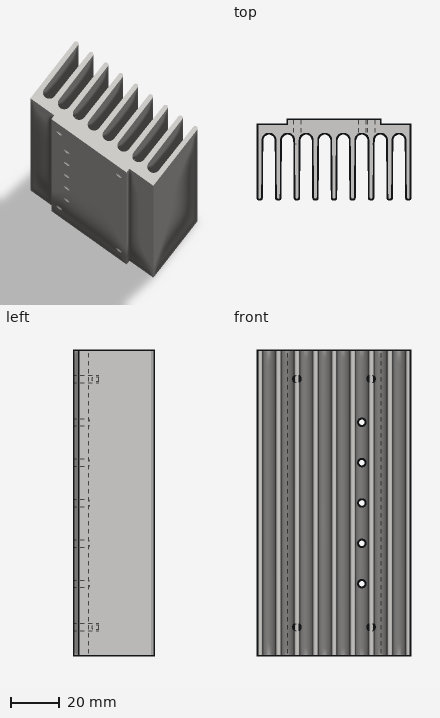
import cadquery as cq

width = 62.8
depth = 33.0
height = 125.0
pad_width = 38.4
pad_height = 2.0

fin_count = 9
fin_thickness = 2.0
tip_radius = fin_thickness / 2
base_thickness = 6.0
root_radius = 2.6
fin_pitch = (width - fin_thickness) / (fin_count - 1)
groove_mouth_width = fin_pitch - fin_thickness

front_y = -depth / 2
back_y = depth / 2
tip_center_y = front_y + tip_radius
groove_end_y = back_y - base_thickness

through_diameter = 3.0
through_count = 5
through_spacing = 16.5
through_x = 1.5 * fin_pitch

mount_diameter = 3.0
mount_depth = 10.0
mount_x = 2 * fin_pitch
mount_z = 50.8


def block(size_x, y_min, y_max):
    """Full-height block centred on X and Z."""
    return cq.Workplane("XY").box(size_x, y_max - y_min, height).translate((0, (y_min + y_max) / 2, 0))


def groove(center_x):
    """Full-height groove open at the front, with a rounded inner end."""
    mouth = groove_mouth_width / 2
    arc_start_y = groove_end_y - root_radius
    return (
        cq.Workplane("XY", origin=(center_x, 0, -height / 2))
        .moveTo(-mouth, tip_center_y)
        .lineTo(-root_radius, arc_start_y)
        .threePointArc((0, groove_end_y), (root_radius, arc_start_y))
        .lineTo(mouth, tip_center_y)
        .close()
        .extrude(height)
    )


def back_hole(x, z, diameter, hole_depth):
    """Round cutter running forward from the back face."""
    return cq.Workplane("XZ", origin=(x, back_y, z)).circle(diameter / 2).extrude(hole_depth)


result = block(width, tip_center_y, back_y - pad_height).union(block(pad_width, tip_center_y, back_y))

for index in range(fin_count - 1):
    groove_x = (index - (fin_count - 2) / 2) * fin_pitch
    result = result.cut(groove(groove_x))

for index in range(fin_count):
    fin_x = (index - (fin_count - 1) / 2) * fin_pitch
    tip = cq.Workplane("XY", origin=(fin_x, tip_center_y, -height / 2)).circle(tip_radius).extrude(height)
    result = result.union(tip)

for index in range(through_count):
    hole_z = (index - (through_count - 1) / 2) * through_spacing
    result = result.cut(back_hole(through_x, hole_z, through_diameter, depth))

for x in (-mount_x, mount_x):
    for z in (-mount_z, mount_z):
        result = result.cut(back_hole(x, z, mount_diameter, mount_depth))